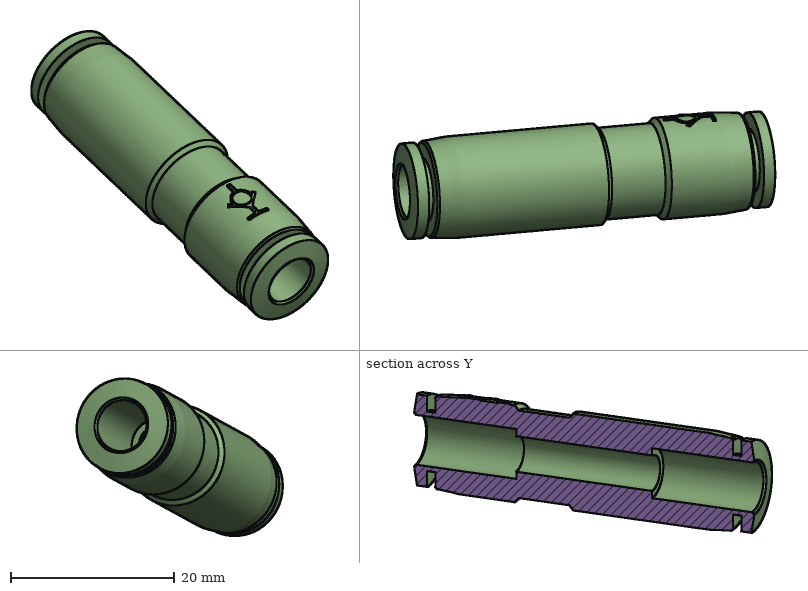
import cadquery as cq
import math

length = 46.0

body_radius = 6.25
taper_radius = 6.05
body_end_radius = 6.0
body_face_radius = 5.75
waist_radius = 5.65
stem_radius = 3.85
collar_radius = 5.9
collar_face_radius = 3.7
mouth_radius = 3.45
socket_radius = 3.17
bore_radius = 2.25

collar_rim = 0.35
collar_back = 1.8
body_start = 2.85
body_chamfer_end = 3.15
taper_break = 4.15
taper_end = 6.05
socket_depth = 13.8
mouth_chamfer = mouth_radius - socket_radius

waist_shoulder_start = 24.45
waist_start = 25.02
waist_end = 31.8
waist_shoulder_end = 32.45

symbol_height = 0.1
symbol_floor = body_radius - 0.9
ring_x = 35.85
ring_outer_radius = 1.43
ring_inner_radius = 1.2
line_half_width = 0.25
symbol_start = 33.07
arrow_point_x = 37.67
arm_tip_y = 2.1
arm_width = 0.4
bar_start = 38.95
bar_end = 39.3
bar_half_length = 1.45


def turned_body():
    """Revolve the outer outline, with matching ends, about X."""
    end_outline = [
        (0, collar_face_radius),
        (collar_rim, collar_radius),
        (collar_back, collar_radius),
        (collar_back, stem_radius),
        (body_start, stem_radius),
        (body_start, body_face_radius),
        (body_chamfer_end, body_end_radius),
        (taper_break, taper_radius),
        (taper_end, body_radius),
    ]
    waist_outline = [
        (waist_shoulder_start, body_radius),
        (waist_start, waist_radius),
        (waist_end, waist_radius),
        (waist_shoulder_end, body_radius),
    ]
    far_end_outline = [(length - x, radius) for x, radius in reversed(end_outline)]
    outline = [(0, 0)] + end_outline + waist_outline + far_end_outline + [(length, 0)]
    return cq.Workplane("XY").polyline(outline).close().revolve(360, (0, 0), (1, 0))


def passage():
    """Through bore with a chamfered tube socket at each end."""
    socket_outline = [
        (0, mouth_radius),
        (mouth_chamfer, socket_radius),
        (socket_depth, socket_radius),
        (socket_depth, bore_radius),
    ]
    far_socket_outline = [(length - x, radius) for x, radius in reversed(socket_outline)]
    outline = [(0, 0)] + socket_outline + far_socket_outline + [(length, 0)]
    return cq.Workplane("XY").polyline(outline).close().revolve(360, (0, 0), (1, 0))


def symbol_block(x_start, x_end, half_width):
    """Rectangular prism of the symbol, centred on the XZ plane."""
    return (
        cq.Workplane("XY", origin=(0, 0, symbol_floor))
        .center((x_start + x_end) / 2, 0)
        .rect(x_end - x_start, 2 * half_width)
        .extrude(body_radius)
    )


def flow_symbol():
    """Check-valve symbol, trimmed to a thin curved layer over the body."""
    arm_tip_x = arrow_point_x - (arm_tip_y - line_half_width)
    arm_step = arm_width / math.sqrt(2)
    inner_point_x = arrow_point_x + line_half_width - 2 * arm_step
    arrow_outline = [
        (arrow_point_x, line_half_width),
        (arm_tip_x, arm_tip_y),
        (arm_tip_x - arm_step, arm_tip_y - arm_step),
        (inner_point_x, 0),
        (arm_tip_x - arm_step, arm_step - arm_tip_y),
        (arm_tip_x, -arm_tip_y),
        (arrow_point_x, -line_half_width),
    ]
    base = cq.Workplane("XY", origin=(0, 0, symbol_floor))
    arrow = base.polyline(arrow_outline).close().extrude(body_radius)
    ring = base.center(ring_x, 0).circle(ring_outer_radius).extrude(body_radius)
    ring_hole = base.center(ring_x, 0).circle(ring_inner_radius).extrude(body_radius)
    symbol = (
        arrow.union(ring)
        .union(symbol_block(symbol_start, ring_x, line_half_width))
        .union(symbol_block(ring_x, bar_end, line_half_width))
        .union(symbol_block(bar_start, bar_end, bar_half_length))
        .cut(ring_hole)
    )
    envelope = cq.Workplane("YZ").circle(body_radius + symbol_height).extrude(length)
    return symbol.intersect(envelope)


result = turned_body().union(flow_symbol()).cut(passage())